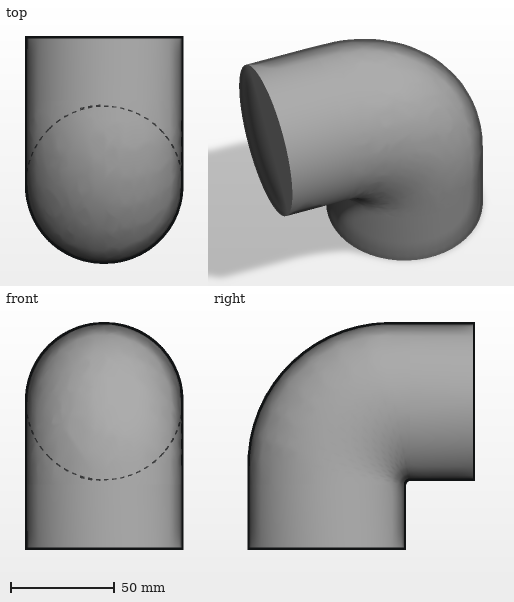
import math

import cadquery as cq

outer_diameter = 76.0
overall_length = 109.5
inner_bend_radius = 2.5
back_arc_radius = 69.0
bend_angle = 90
bend_steps = 16

outer_radius = outer_diameter / 2
axis_offset = inner_bend_radius + outer_radius
back_offset = inner_bend_radius + outer_diameter
collar_length = overall_length - back_offset
back_straight_length = back_offset - back_arc_radius


def back_distance(angle):
    """Distance from the bend pivot to the back of the elbow, at an angle in degrees.

    The back runs straight past each collar, then follows one large arc.
    """
    radians = math.radians(min(angle, bend_angle - angle))
    straight_end_angle = math.atan2(back_straight_length, back_offset)
    if radians <= straight_end_angle:
        return back_offset / math.cos(radians)
    along = back_straight_length * (math.cos(radians) + math.sin(radians))
    across = back_straight_length * (math.cos(radians) - math.sin(radians))
    return along + math.sqrt(back_arc_radius**2 - across**2)


def bend_section(angle):
    """Cross-section wire in the plane through the pivot line, turned by an angle in degrees.

    The section is an ellipse as wide as the collars; its radial size reaches from the
    tight inner arc to the back of the elbow.
    """
    back = back_distance(angle)
    centre_distance = (back + inner_bend_radius) / 2
    radial_half_size = (back - inner_bend_radius) / 2
    radians = math.radians(angle)
    outward = cq.Vector(0, -math.cos(radians), math.sin(radians))
    pivot = cq.Vector(0, axis_offset, 0)
    return cq.Wire.makeEllipse(
        radial_half_size,
        outer_radius,
        pivot + outward * centre_distance,
        cq.Vector(0, math.sin(radians), math.cos(radians)),
        outward,
    )


def make_bend():
    """Smooth right-angle bend that turns the pipe axis from +Z to +Y."""
    angles = [bend_angle * step / bend_steps for step in range(bend_steps + 1)]
    return cq.Workplane(cq.Solid.makeLoft([bend_section(angle) for angle in angles]))


def make_lower_collar():
    """Straight lower end, centred on the Z axis, with its top face at Z = 0."""
    return cq.Workplane("XY").circle(outer_radius).extrude(-collar_length)


def make_side_collar():
    """Straight end that leaves the bend along +Y."""
    bend_end = (0, axis_offset, axis_offset)
    return cq.Workplane("XZ", origin=bend_end).circle(outer_radius).extrude(-collar_length)


result = make_lower_collar().union(make_bend()).union(make_side_collar())